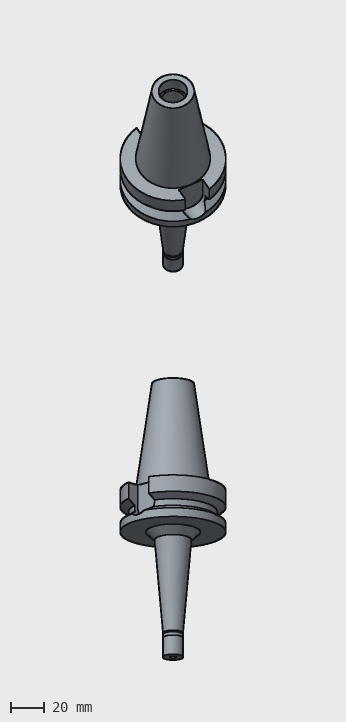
import cadquery as cq

TOTAL_LENGTH = 170.4

TAPER_LENGTH = 65.5
TAPER_RATIO = 7 / 24
GAUGE_DIAMETER = 44.5
LAND_LENGTH = 1.0

FLANGE_DIAMETER = 63.0
FLANGE_BOTTOM = -27.0
GROOVE_DIAMETER = 53.0
GROOVE_FLOOR_TOP = -14.3
GROOVE_FLOOR_BOTTOM = -18.4
GROOVE_CHAMFER = 3.0

SLOT_WIDTH = 16.2
SLOT_FLOOR = 22.3
SLOT_BOTTOM = -23.2

NOSE_CONE_DIAMETER = 32.5
NOSE_SHOULDER = -31.9
NOSE_TOP_DIAMETER = 22.2
NOSE_END = -90.0
TIP_DIAMETER = 12.1

COUNTERBORE_DIAMETER = 17.0
COUNTERBORE_DEPTH = 9.0
BORE_DIAMETER = 14.0
BORE_DEPTH = 34.0
BORE_LEAD_IN_WIDTH = 0.2
BORE_LEAD_IN_LENGTH = 1.0
COOLANT_DIAMETER = 6.0

NECK_DIAMETER = 10.2
NECK_LENGTH = 0.7
COLLAR_BOTTOM = -93.0
TIP_BORE_DIAMETER = 4.0
TIP_END = TAPER_LENGTH - TOTAL_LENGTH


def revolve_profile(points):
    """Solid of revolution about Z from (radius, z) points."""
    return cq.Workplane("XZ").polyline(points).close().revolve(360, (0, 0), (0, 1))


def cylinder(diameter, bottom, top):
    return cq.Workplane("XY").workplane(offset=bottom).circle(diameter / 2).extrude(top - bottom)


def holder_blank():
    """Taper shank, grooved flange and slender nose, without any cuts."""
    gauge_radius = GAUGE_DIAMETER / 2
    taper_end_radius = gauge_radius - TAPER_LENGTH * TAPER_RATIO / 2
    flange_radius = FLANGE_DIAMETER / 2
    groove_radius = GROOVE_DIAMETER / 2
    return revolve_profile([
        (0, TAPER_LENGTH),
        (taper_end_radius, TAPER_LENGTH),
        (gauge_radius, 0),
        (gauge_radius, -LAND_LENGTH),
        (flange_radius, -LAND_LENGTH),
        (flange_radius, GROOVE_FLOOR_TOP + GROOVE_CHAMFER),
        (groove_radius, GROOVE_FLOOR_TOP),
        (groove_radius, GROOVE_FLOOR_BOTTOM),
        (flange_radius, GROOVE_FLOOR_BOTTOM - GROOVE_CHAMFER),
        (flange_radius, FLANGE_BOTTOM),
        (NOSE_CONE_DIAMETER / 2, FLANGE_BOTTOM),
        (NOSE_TOP_DIAMETER / 2, NOSE_SHOULDER),
        (TIP_DIAMETER / 2, NOSE_END),
        (0, NOSE_END),
    ])


def holder_bore():
    """Counterbore, bore with a steep conical lead-in and coolant hole along the axis."""
    step = TAPER_LENGTH - COUNTERBORE_DEPTH
    bore_floor = TAPER_LENGTH - BORE_DEPTH
    bore_radius = BORE_DIAMETER / 2
    return revolve_profile([
        (0, TAPER_LENGTH),
        (COUNTERBORE_DIAMETER / 2, TAPER_LENGTH),
        (COUNTERBORE_DIAMETER / 2, step),
        (bore_radius + BORE_LEAD_IN_WIDTH, step),
        (bore_radius, step - BORE_LEAD_IN_LENGTH),
        (bore_radius, bore_floor),
        (COOLANT_DIAMETER / 2, bore_floor),
        (COOLANT_DIAMETER / 2, NOSE_END),
        (0, NOSE_END),
    ])


def drive_slot(side):
    """Round-bottomed slot through the rim; side is +1 for +X and -1 for -X."""
    half_width = SLOT_WIDTH / 2
    arc_center = SLOT_BOTTOM + half_width
    return (
        cq.Workplane("YZ")
        .workplane(offset=side * SLOT_FLOOR)
        .moveTo(-half_width, 0)
        .lineTo(-half_width, arc_center)
        .threePointArc((0, SLOT_BOTTOM), (half_width, arc_center))
        .lineTo(half_width, 0)
        .close()
        .extrude(side * FLANGE_DIAMETER / 2)
    )


def make_holder():
    body = holder_blank().cut(holder_bore())
    for side in (-1, 1):
        body = body.cut(drive_slot(side))
    return body


def make_collar():
    """Ring whose short neck leaves a narrow gap below the nose of the holder."""
    neck_bottom = NOSE_END - NECK_LENGTH
    ring = cylinder(TIP_DIAMETER, COLLAR_BOTTOM, neck_bottom)
    neck = cylinder(NECK_DIAMETER, neck_bottom, NOSE_END)
    return ring.union(neck).cut(cylinder(TIP_BORE_DIAMETER, COLLAR_BOTTOM, NOSE_END))


def make_tip():
    """Plain sleeve at the lower end."""
    sleeve = cylinder(TIP_DIAMETER, TIP_END, COLLAR_BOTTOM)
    return sleeve.cut(cylinder(TIP_BORE_DIAMETER, TIP_END, COLLAR_BOTTOM))


holder = make_holder()
collar = make_collar()
tip = make_tip()

result = cq.Compound.makeCompound([holder.val(), collar.val(), tip.val()])